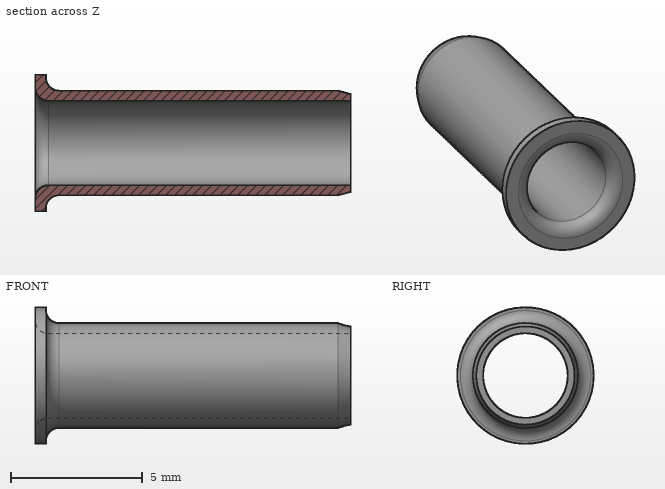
import cadquery as cq
import math

length = 12.0
flange_diameter = 5.2
flange_thickness = 0.42
tube_diameter = 4.0
wall_thickness = 0.4
neck_radius = 0.48
mouth_radius = 0.5
taper_length = 0.5
taper_angle = 15.0

flange_radius = flange_diameter / 2
tube_radius = tube_diameter / 2
bore_radius = tube_radius - wall_thickness
neck_end = flange_thickness + neck_radius
tip_radius = tube_radius - taper_length * math.tan(math.radians(taper_angle))
neck_arc_offset = neck_radius * math.sqrt(0.5)
mouth_arc_offset = mouth_radius * math.sqrt(0.5)

neck_center = (neck_end, tube_radius + neck_radius)
mouth_center = (mouth_radius, bore_radius + mouth_radius)

half_section = (
    cq.Workplane("XY")
    .moveTo(0, mouth_center[1])
    .lineTo(0, flange_radius)
    .lineTo(flange_thickness, flange_radius)
    .lineTo(flange_thickness, neck_center[1])
    .threePointArc(
        (neck_center[0] - neck_arc_offset, neck_center[1] - neck_arc_offset),
        (neck_end, tube_radius),
    )
    .lineTo(length - taper_length, tube_radius)
    .lineTo(length, tip_radius)
    .lineTo(length, bore_radius)
    .lineTo(mouth_center[0], bore_radius)
    .threePointArc(
        (mouth_center[0] - mouth_arc_offset, mouth_center[1] - mouth_arc_offset),
        (0, mouth_center[1]),
    )
    .close()
)

result = half_section.revolve(360, (0, 0, 0), (1, 0, 0))